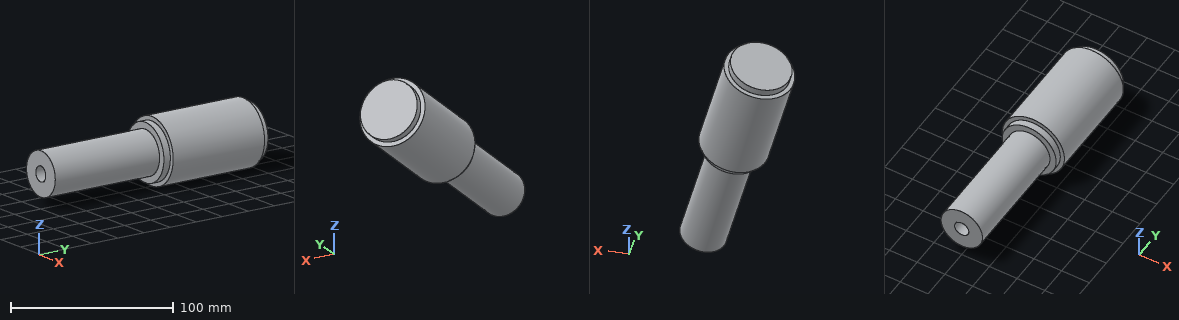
import cadquery as cq
import math

total_length = 160.0
shaft_length = 80.0
collar_length = 5.0
body_diameter = 45.0
collar_diameter = 39.0
shaft_diameter = 30.0
hole_diameter = 10.2
hole_depth = 24.0
drill_point_angle = 90.0

body_length = total_length - shaft_length - 2 * collar_length


def cylinder_along_y(diameter, start, length):
    """Solid cylinder on the Y axis, from start toward +Y."""
    base = cq.Workplane("XZ", origin=(0, start, 0))
    return base.circle(diameter / 2).extrude(-length)


def drilled_hole():
    """Blind hole from the shaft end with a conical drill point."""
    radius = hole_diameter / 2
    point_length = radius / math.tan(math.radians(drill_point_angle / 2))
    half_profile = (
        cq.Workplane("XY")
        .lineTo(radius, 0)
        .lineTo(radius, hole_depth)
        .lineTo(0, hole_depth + point_length)
        .close()
    )
    return half_profile.revolve(360, (0, 0, 0), (0, 1, 0))


sections = [
    (shaft_diameter, shaft_length),
    (collar_diameter, collar_length),
    (body_diameter, body_length),
    (collar_diameter, collar_length),
]
part = cq.Workplane("XY")
start = 0.0
for diameter, length in sections:
    part = part.union(cylinder_along_y(diameter, start, length))
    start += length

result = part.cut(drilled_hole())